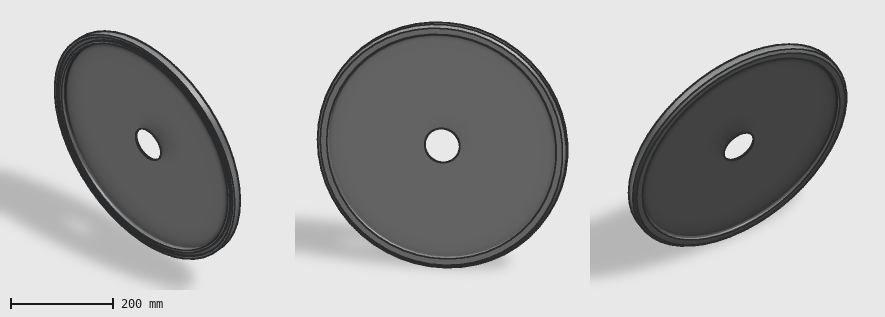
import cadquery as cq

outer_radius = 246.0
thickness = 20.0
hole_radius = 34.5

bevel_width = 6.5
bevel_depth = 5.0

groove_outer_radius = 240.0
groove_inner_radius = 232.0
groove_depth = 4.0

recess_radius = 227.0
front_recess_depth = 10.0
web_thickness = 3.0
back_recess_depth = thickness - front_recess_depth - web_thickness
corner_radius = 5.0

front = -thickness / 2
back = thickness / 2


def make_disc(radius, y_start, y_end):
    """Solid disc about the Y axis between two Y positions."""
    return cq.Workplane("XZ", origin=(0, y_end, 0)).circle(radius).extrude(y_end - y_start)


def make_groove():
    """Ring-shaped cutter for the groove in the front rim."""
    groove_floor = front + groove_depth
    core = make_disc(groove_inner_radius, front, groove_floor)
    return make_disc(groove_outer_radius, front, groove_floor).cut(core)


def make_recess(y_start, y_end, floor_side):
    """Round pocket cutter with a rounded edge on its floor side."""
    pocket = make_disc(recess_radius, y_start, y_end)
    return pocket.faces(floor_side).edges().fillet(corner_radius)


def make_blank():
    """Plain disc with the bevelled back edge and the centre hole."""
    half_section = [
        (hole_radius, front),
        (outer_radius, front),
        (outer_radius, back - bevel_depth),
        (outer_radius - bevel_width, back),
        (hole_radius, back),
    ]
    return cq.Workplane("XY").polyline(half_section).close().revolve(360, (0, 0), (0, 1))


front_recess = make_recess(front, front + front_recess_depth, ">Y")
back_recess = make_recess(back - back_recess_depth, back, "<Y")
result = make_blank().cut(make_groove()).cut(front_recess).cut(back_recess)